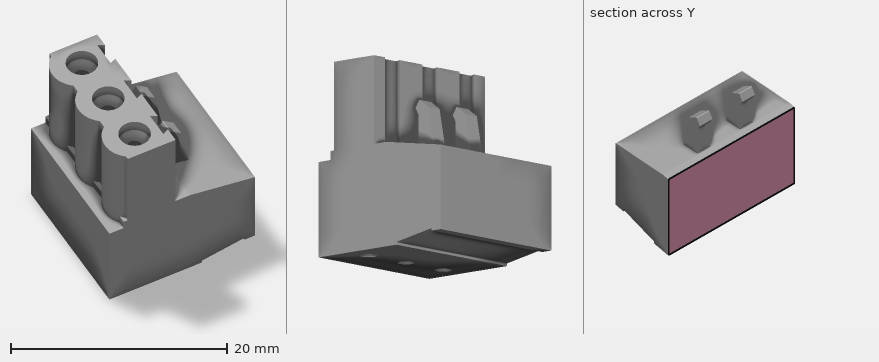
import cadquery as cq

WIDTH = 15.12
DEPTH = 15.34
HEIGHT = 18.15
POLE_COUNT = 3
POLE_PITCH = 5.08

FRONT_TOP_Z = 8.97
SHELF_Z = 9.82
SLOPE_START_Y = 8.48
REAR_TOP_Z = 8.73
REAR_BOTTOM_Z = 0.78
REAR_FOOT_Y = 14.21
RAMP_REAR_Z = 1.02
RAMP_FRONT_Z = 0.25
FRONT_FOOT_Y = 9.76

TOWER_FRONT_Y = 1.95
TOWER_REAR_Y = 6.97
LEDGE_FRONT_Y = 1.5

RIB_CREST_Y = 0.9
RIB_CREST_WIDTH = 0.42
RIB_RADIUS = 2.69

GROOVE_DEPTH = 0.64
GROOVE_MOUTH_WIDTH = 1.95
GROOVE_FLOOR_WIDTH = 2.58

HOLE_Y = 4.01
HOLE_DIAMETER = 3.01
BORE_DIAMETER = 1.6
HOLE_STRAIGHT_DEPTH = 1.1
CONE_DEPTH = (HOLE_DIAMETER - BORE_DIAMETER) / 2

LATCH_WIDTH = 1.5
LATCH_FRONT_Y = 8.62
LATCH_REAR_Y = 10.65
LATCH_SHOULDER = (9.9, 13.5)
LATCH_TIP_Z = 14.28
LATCH_TIP_REAR_Y = 8.82
LATCH_TIP_FRONT_Y = 8.71
LATCH_NOSE = (8.25, 13.6)
LATCH_NECK_Z = 12.92


def evenly_spaced(count):
    """X positions of items one pole pitch apart, centred on the block."""
    return [(i - (count - 1) / 2) * POLE_PITCH for i in range(count)]


def side_profile(points, width, center_x=0):
    """Extrude a (Y, Z) outline along X, centred on center_x."""
    plane = cq.Workplane("YZ", origin=(center_x, 0, 0))
    return plane.polyline(points).close().extrude(width / 2, both=True)


def slope_z(y):
    """Height of the sloping rear top face at depth y."""
    fall = (SHELF_Z - REAR_TOP_Z) / (DEPTH - SLOPE_START_Y)
    return SHELF_Z - fall * (y - SLOPE_START_Y)


def make_body():
    return side_profile(
        [
            (0, 0),
            (0, FRONT_TOP_Z),
            (LEDGE_FRONT_Y, FRONT_TOP_Z),
            (LEDGE_FRONT_Y, SHELF_Z),
            (TOWER_FRONT_Y, SHELF_Z),
            (TOWER_FRONT_Y, HEIGHT),
            (TOWER_REAR_Y, HEIGHT),
            (TOWER_REAR_Y, SHELF_Z),
            (SLOPE_START_Y, SHELF_Z),
            (DEPTH, REAR_TOP_Z),
            (DEPTH, REAR_BOTTOM_Z),
            (REAR_FOOT_Y, REAR_BOTTOM_Z),
            (REAR_FOOT_Y, RAMP_REAR_Z),
            (FRONT_FOOT_Y, RAMP_FRONT_Z),
            (FRONT_FOOT_Y, 0),
        ],
        WIDTH,
    )


def make_rib(x):
    """Round rib from the front step to the tower top, trimmed to a flat crest."""
    crest_sagitta = RIB_RADIUS - (RIB_RADIUS**2 - (RIB_CREST_WIDTH / 2) ** 2) ** 0.5
    center_y = RIB_CREST_Y - crest_sagitta + RIB_RADIUS
    rib_height = HEIGHT - FRONT_TOP_Z
    base = cq.Workplane("XY", origin=(x, 0, FRONT_TOP_Z))
    cylinder = base.center(0, center_y).circle(RIB_RADIUS).extrude(rib_height)
    keep_depth = TOWER_FRONT_Y - RIB_CREST_Y
    keep = base.center(0, RIB_CREST_Y + keep_depth / 2).rect(POLE_PITCH, keep_depth).extrude(rib_height)
    return cylinder.intersect(keep)


def make_groove(x):
    """Dovetail cutter, wider at its floor, open at the tower rear and top."""
    floor_y = TOWER_REAR_Y - GROOVE_DEPTH
    outline = [
        (-GROOVE_MOUTH_WIDTH / 2, TOWER_REAR_Y),
        (-GROOVE_FLOOR_WIDTH / 2, floor_y),
        (GROOVE_FLOOR_WIDTH / 2, floor_y),
        (GROOVE_MOUTH_WIDTH / 2, TOWER_REAR_Y),
    ]
    return cq.Workplane("XY", origin=(x, 0, SHELF_Z)).polyline(outline).close().extrude(HEIGHT - SHELF_Z)


def make_hole(x):
    """Stepped round cutter revolved about the hole axis."""
    seat_top_z = HEIGHT - HOLE_STRAIGHT_DEPTH
    half_section = [
        (0, 0),
        (BORE_DIAMETER / 2, 0),
        (BORE_DIAMETER / 2, seat_top_z - CONE_DEPTH),
        (HOLE_DIAMETER / 2, seat_top_z),
        (HOLE_DIAMETER / 2, HEIGHT),
        (0, HEIGHT),
    ]
    section = cq.Workplane("XZ", origin=(x, HOLE_Y, 0)).polyline(half_section).close()
    return section.revolve(360, (0, 0), (0, 1))


def make_latch(x):
    """Hook rising from the rear slope, its nose pointing at the tower."""
    root_z = slope_z(LATCH_REAR_Y)
    return side_profile(
        [
            (LATCH_FRONT_Y, root_z),
            (LATCH_FRONT_Y, LATCH_NECK_Z),
            LATCH_NOSE,
            (LATCH_TIP_FRONT_Y, LATCH_TIP_Z),
            (LATCH_TIP_REAR_Y, LATCH_TIP_Z),
            LATCH_SHOULDER,
            (LATCH_REAR_Y, root_z),
        ],
        LATCH_WIDTH,
        x,
    )


result = make_body()
for pole_x in evenly_spaced(POLE_COUNT):
    result = result.union(make_rib(pole_x))
for latch_x in evenly_spaced(POLE_COUNT - 1):
    result = result.union(make_latch(latch_x))
for pole_x in evenly_spaced(POLE_COUNT):
    result = result.cut(make_groove(pole_x))
    result = result.cut(make_hole(pole_x))